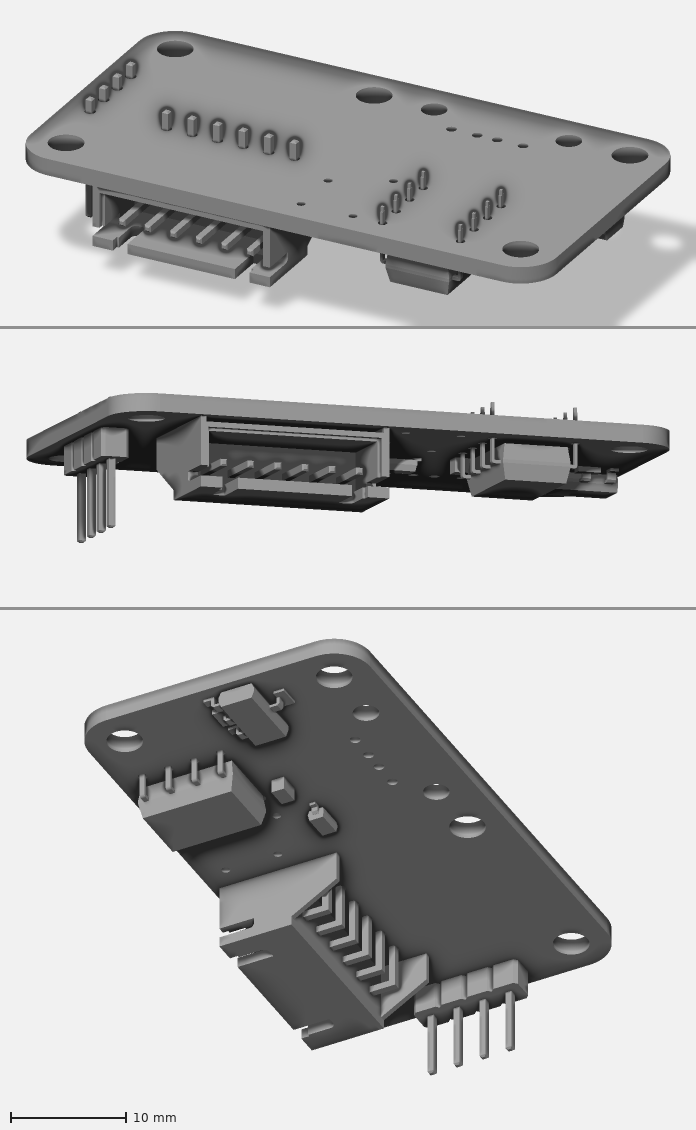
import cadquery as cq

BOARD_LENGTH = 51.5
BOARD_WIDTH = 27.5
BOARD_THICKNESS = 1.6
CORNER_RADIUS = 3.5
MOUNT_HOLE = 3.2
MOUNT_X = BOARD_LENGTH / 2 - CORNER_RADIUS
MOUNT_Y = BOARD_WIDTH / 2 - CORNER_RADIUS
EXTRA_MOUNT_X = -2.8

SOCKET_X = 9.7
PEG_HOLE = 2.3
PEG_SPACING = 13.2
CONTACT_HOLE = 0.95
CONTACT_Y = 7.55
CONTACT_OFFSETS = [-3.5, -1.0, 1.0, 3.5]

CHIP_ROW_SPACING = 7.6
PITCH = CHIP_ROW_SPACING / 3

CHIP_X = 13.1
CHIP_Y = -7.45
CHIP_ROWS = 4
CHIP_LEAD_HOLE = 0.8
CHIP_LEAD_WIDTH = 0.45
CHIP_LEAD_THICKNESS = 0.25
CHIP_LEAD_TOP = 3.2
CHIP_TIP_LENGTH = 0.45
CHIP_TIP_WIDTH = 0.25
CHIP_LENGTH = 9.25
CHIP_WIDTH = 6.25
CHIP_TOP_INSET = 0.2
CHIP_BOTTOM_INSET = 0.3
CHIP_TOP = -0.45
CHIP_BAND_TOP = -1.9
CHIP_BAND_BOTTOM = -2.2
CHIP_BOTTOM = -3.65

LOOSE_HOLE = 0.75
LOOSE_LEFT_X = 1.3
LOOSE_RIGHT_X = LOOSE_LEFT_X + 2 * PITCH

HEADER_X = -BOARD_LENGTH / 2 + PITCH
HEADER_Y = -0.05
HEADER_PINS = 4
HEADER_BLOCK_CHAMFER = 0.3
HEADER_HOLE = 1.0
HEADER_PIN_TOP = 2.95
HEADER_PIN_BOTTOM = -8.6
PIN_SIDE = 0.6
PIN_TIP = 0.15

PLUG_X = -9.55
PLUG_PINS = 6
PLUG_ROW_LENGTH = 12.5
PLUG_PITCH = PLUG_ROW_LENGTH / (PLUG_PINS - 1)
PLUG_HOLE = 0.95
PLUG_PIN_Y = -3.75
PLUG_PIN_TOP = 3.35
PLUG_PIN_Z = -3.8
PLUG_PIN_FRONT = -12.25
PLUG_WIDTH = 17.35
PLUG_FRONT = -13.05
PLUG_BACK = -1.55
PLUG_SHELL_BACK = -5.95
PLUG_BACK_WALL = 1.0
PLUG_ROOF_TOP = -0.45
PLUG_BOTTOM = -6.25
PLUG_FLOOR = 1.0
PLUG_ROOF = 0.45
GUSSET_THICKNESS = 0.5
GUSSET_LOW = -5.35
GUSSET_HIGH = -2.8
MOUTH_WALL = 0.65
MOUTH_DEPTH = 0.5
MOUTH_STEP = 0.25
SIDE_SLOT_TOP = -4.35
SIDE_SLOT_DEPTH = 3.4
SIDE_SLOT_RADIUS = 0.45
FLOOR_SLOT_INNER = 5.25
FLOOR_SLOT_WIDTH = 1.25
FLOOR_SLOT_DEPTH = 3.5
FLOOR_SLOT_RADIUS = 0.5
FLOOR_SLOT_MOUTH_WIDTH = 1.45
FLOOR_SLOT_MOUTH_DEPTH = 0.75

DIODE_X = 4.75
DIODE_Y = 0
DIODE_LENGTH = 2.7
DIODE_WIDTH = 1.55
DIODE_INSET = 0.1
DIODE_TOP = -0.25
DIODE_MIDDLE = -0.7
DIODE_BOTTOM = -1.3
DIODE_SPAN = 3.9
DIODE_FOOT = 0.4
DIODE_LEAD_WIDTH = 0.55

REGULATOR_X = 21.8
REGULATOR_Y = 2.1
REGULATOR_LENGTH = 6.5
REGULATOR_WIDTH = 3.5
REGULATOR_INSET = 0.25
REGULATOR_TOP = -0.2
REGULATOR_BAND_TOP = -0.75
REGULATOR_BAND_BOTTOM = -1.1
REGULATOR_BOTTOM = -1.75
REGULATOR_SPAN = 7.0
REGULATOR_FOOT = 0.75
REGULATOR_LEAD_PITCH = 2.3
REGULATOR_LEAD_WIDTH = 0.75
REGULATOR_TAB_WIDTH = 2.05
REGULATOR_TAB_THICKNESS = 0.45

LEAD_THICKNESS = 0.25
LEAD_BEND = 0.2

CAPACITOR_X = 10.25
CAPACITOR_Y = -1.05
CAPACITOR_LENGTH = 1.95
CAPACITOR_DEPTH = 1.25
CAPACITOR_HEIGHT = 1.3
TERMINAL_LENGTH = 0.3


def row(count, pitch, middle=0):
    """Evenly spaced positions about a middle."""
    return [middle + (i - (count - 1) / 2) * pitch for i in range(count)]


def box(x_range, y_range, z_range):
    """Box between two limits along each axis."""
    size = [end - start for start, end in (x_range, y_range, z_range)]
    return cq.Workplane().box(*size, centered=False).translate((x_range[0], y_range[0], z_range[0]))


def centred_box(x, y, length, width, z_range):
    """Box centred on (x, y) between two heights."""
    return box((x - length / 2, x + length / 2), (y - width / 2, y + width / 2), z_range)


def frustum(bottom, top, z_bottom, z_top):
    """Rectangular solid centred on the Z axis, tapering between two (length, width) sizes."""
    return (cq.Workplane().workplane(offset=z_bottom).rect(*bottom)
            .workplane(offset=z_top - z_bottom).rect(*top).loft(ruled=True))


HEADER_YS = row(HEADER_PINS, PITCH, HEADER_Y)
PLUG_XS = row(PLUG_PINS, PLUG_PITCH, PLUG_X)
CHIP_YS = row(CHIP_ROWS, PITCH, CHIP_Y)


def make_board():
    board = (cq.Workplane().box(BOARD_LENGTH, BOARD_WIDTH, BOARD_THICKNESS, centered=(True, True, False))
             .edges("|Z").fillet(CORNER_RADIUS))
    mounts = [(x, y) for x in (-MOUNT_X, MOUNT_X) for y in (-MOUNT_Y, MOUNT_Y)]
    mounts.append((EXTRA_MOUNT_X, MOUNT_Y))
    pegs = [(SOCKET_X + side * PEG_SPACING / 2, MOUNT_Y) for side in (-1, 1)]
    contacts = [(SOCKET_X + offset, CONTACT_Y) for offset in CONTACT_OFFSETS]
    header_holes = [(HEADER_X, y) for y in HEADER_YS]
    plug_holes = [(x, PLUG_PIN_Y) for x in PLUG_XS]
    chip_holes = [(x, y) for x in row(2, CHIP_ROW_SPACING, CHIP_X) for y in CHIP_YS]
    front_row, back_row = CHIP_YS[0], CHIP_YS[-1]
    loose_holes = [
        (LOOSE_LEFT_X, front_row),
        (LOOSE_LEFT_X, back_row - PITCH),
        (LOOSE_RIGHT_X, front_row),
        (LOOSE_RIGHT_X, back_row),
    ]
    for points, diameter in (
        (mounts, MOUNT_HOLE),
        (pegs, PEG_HOLE),
        (contacts, CONTACT_HOLE),
        (header_holes, HEADER_HOLE),
        (plug_holes, PLUG_HOLE),
        (chip_holes, CHIP_LEAD_HOLE),
        (loose_holes, LOOSE_HOLE),
    ):
        board = board.cut(cq.Workplane().pushPoints(points).circle(diameter / 2).extrude(BOARD_THICKNESS))
    return board


def make_header():
    """Row of chamfered blocks, each with a square pin through it."""
    header = cq.Workplane()
    for y in HEADER_YS:
        block = centred_box(HEADER_X, y, PITCH, PITCH, (-PITCH, 0)).edges("|Z").chamfer(HEADER_BLOCK_CHAMFER)
        pin = centred_box(HEADER_X, y, PIN_SIDE, PIN_SIDE, (HEADER_PIN_BOTTOM, HEADER_PIN_TOP))
        header = header.union(block).union(pin.faces("<Z or >Z").chamfer(PIN_TIP))
    return header


def make_plug_pin(x):
    """Square pin that runs back from the mouth and bends up through the board."""
    half = PIN_SIDE / 2
    upright = centred_box(x, PLUG_PIN_Y, PIN_SIDE, PIN_SIDE, (PLUG_PIN_Z - half, PLUG_PIN_TOP))
    contact = box(
        (x - half, x + half),
        (PLUG_PIN_FRONT, PLUG_PIN_Y + half),
        (PLUG_PIN_Z - half, PLUG_PIN_Z + half),
    )
    return upright.faces(">Z").chamfer(PIN_TIP).union(contact.faces("<Y").chamfer(PIN_TIP))


def make_floor_slot(side):
    """Slot in the floor with one rounded inner corner and a stepped mouth; side is -1 or 1."""
    inner = FLOOR_SLOT_INNER
    slot_z = (PLUG_BOTTOM, PLUG_BOTTOM + PLUG_FLOOR)
    slot = box((inner, inner + FLOOR_SLOT_WIDTH), (PLUG_FRONT, PLUG_FRONT + FLOOR_SLOT_DEPTH), slot_z)
    slot = slot.edges("|Z and >X and >Y").fillet(FLOOR_SLOT_RADIUS)
    slot = slot.union(box(
        (inner, inner + FLOOR_SLOT_MOUTH_WIDTH),
        (PLUG_FRONT, PLUG_FRONT + FLOOR_SLOT_MOUTH_DEPTH),
        slot_z,
    ))
    if side < 0:
        slot = slot.mirror("YZ")
    return slot.translate((PLUG_X, 0, 0))


def make_plug():
    """Open-fronted connector shell with side gussets and its bent pins."""
    left = PLUG_X - PLUG_WIDTH / 2
    right = PLUG_X + PLUG_WIDTH / 2
    floor_top = PLUG_BOTTOM + PLUG_FLOOR
    cavity_back = PLUG_SHELL_BACK - PLUG_BACK_WALL
    cavity_wall = MOUTH_WALL + MOUTH_STEP
    cavity_top = PLUG_ROOF_TOP - PLUG_ROOF
    mouth_back = PLUG_FRONT + MOUTH_DEPTH

    plug = box((left, right), (PLUG_FRONT, PLUG_SHELL_BACK), (PLUG_BOTTOM, PLUG_ROOF_TOP))

    gusset_outline = [
        (PLUG_FRONT, PLUG_BOTTOM),
        (PLUG_SHELL_BACK, PLUG_BOTTOM),
        (PLUG_SHELL_BACK, GUSSET_LOW),
        (PLUG_BACK, GUSSET_HIGH),
        (PLUG_BACK, 0),
        (PLUG_FRONT, 0),
    ]
    for x in (left, right - GUSSET_THICKNESS):
        gusset = cq.Workplane("YZ", origin=(x, 0, 0)).polyline(gusset_outline).close()
        plug = plug.union(gusset.extrude(GUSSET_THICKNESS))

    plug = plug.cut(box(
        (left + cavity_wall, right - cavity_wall),
        (PLUG_FRONT, cavity_back),
        (floor_top, cavity_top - MOUTH_STEP),
    ))
    plug = plug.cut(box(
        (left + MOUTH_WALL, right - MOUTH_WALL),
        (PLUG_FRONT, mouth_back),
        (floor_top, cavity_top),
    ))

    side_slot = box(
        (left, right),
        (PLUG_FRONT, PLUG_FRONT + SIDE_SLOT_DEPTH),
        (floor_top, SIDE_SLOT_TOP),
    )
    plug = plug.cut(side_slot.edges("|X and >Y and <Z").fillet(SIDE_SLOT_RADIUS))
    for side in (-1, 1):
        plug = plug.cut(make_floor_slot(side))
    for x in PLUG_XS:
        plug = plug.union(make_plug_pin(x))
    return plug


def make_chip():
    """Dual in-line chip: tapered body with leads bent up through the board."""
    middle = (CHIP_WIDTH, CHIP_LENGTH)
    top = (CHIP_WIDTH - 2 * CHIP_TOP_INSET, CHIP_LENGTH - 2 * CHIP_TOP_INSET)
    bottom = (CHIP_WIDTH - 2 * CHIP_BOTTOM_INSET, CHIP_LENGTH - 2 * CHIP_BOTTOM_INSET)
    chip = frustum(bottom, middle, CHIP_BOTTOM, CHIP_BAND_BOTTOM)
    chip = chip.union(frustum(middle, middle, CHIP_BAND_BOTTOM, CHIP_BAND_TOP))
    chip = chip.union(frustum(middle, top, CHIP_BAND_TOP, CHIP_TOP))
    chip = chip.translate((CHIP_X, CHIP_Y, 0))

    span = CHIP_ROW_SPACING + CHIP_LEAD_THICKNESS
    tip_bottom = CHIP_LEAD_TOP - CHIP_TIP_LENGTH
    for y in CHIP_YS:
        shoulder = centred_box(CHIP_X, y, span, CHIP_LEAD_WIDTH, (CHIP_BAND_BOTTOM, CHIP_BAND_TOP))
        chip = chip.union(shoulder.edges("|Y and <Z").fillet(CHIP_LEAD_THICKNESS))
        for x in row(2, CHIP_ROW_SPACING, CHIP_X):
            lead = centred_box(x, y, CHIP_LEAD_THICKNESS, CHIP_LEAD_WIDTH, (CHIP_BAND_TOP, tip_bottom))
            tip = centred_box(x, y, CHIP_LEAD_THICKNESS, CHIP_TIP_WIDTH, (tip_bottom, CHIP_LEAD_TOP))
            chip = chip.union(lead).union(tip)
    return chip


def make_lead(reach, foot_length, width, height, foot_width, foot_thickness):
    """Bent lead along +X: a foot on the board, a riser and a shoulder that starts at X = 0."""
    riser_end = reach - foot_length
    riser_start = riser_end - LEAD_THICKNESS
    foot = box((riser_start, reach), (-foot_width / 2, foot_width / 2), (-foot_thickness, 0))
    riser = box((riser_start, riser_end), (-width / 2, width / 2), (height, 0))
    shoulder = box((0, riser_end), (-width / 2, width / 2), (height, height + LEAD_THICKNESS))
    return riser.union(shoulder).edges("|Y and >X and <Z").chamfer(LEAD_BEND).union(foot)


def make_diode():
    ends = (DIODE_LENGTH - 2 * DIODE_INSET, DIODE_WIDTH - 2 * DIODE_INSET)
    middle = (DIODE_LENGTH, DIODE_WIDTH)
    diode = frustum(ends, middle, DIODE_BOTTOM, DIODE_MIDDLE)
    diode = diode.union(frustum(middle, ends, DIODE_MIDDLE, DIODE_TOP))
    lead_bottom = DIODE_MIDDLE - LEAD_THICKNESS / 2
    lead = make_lead(
        DIODE_SPAN / 2, DIODE_FOOT, DIODE_LEAD_WIDTH, lead_bottom, DIODE_LEAD_WIDTH, LEAD_THICKNESS
    )
    diode = diode.union(lead).union(lead.mirror("YZ"))
    return diode.translate((DIODE_X, DIODE_Y, 0))


def make_regulator():
    """Regulator with three leads in front and one behind; its tapers are on the long sides only."""
    ends = (REGULATOR_LENGTH, REGULATOR_WIDTH - 2 * REGULATOR_INSET)
    middle = (REGULATOR_LENGTH, REGULATOR_WIDTH)
    regulator = frustum(ends, middle, REGULATOR_BOTTOM, REGULATOR_BAND_BOTTOM)
    regulator = regulator.union(frustum(middle, middle, REGULATOR_BAND_BOTTOM, REGULATOR_BAND_TOP))
    regulator = regulator.union(frustum(middle, ends, REGULATOR_BAND_TOP, REGULATOR_TOP))

    width = REGULATOR_LEAD_WIDTH
    reach = REGULATOR_SPAN / 2
    height = REGULATOR_BAND_BOTTOM
    outer = make_lead(reach, REGULATOR_FOOT, width, height, width, LEAD_THICKNESS)
    tab = make_lead(reach, REGULATOR_FOOT, width, height, REGULATOR_TAB_WIDTH, REGULATOR_TAB_THICKNESS)
    rear = make_lead(reach, REGULATOR_FOOT, width, height, REGULATOR_TAB_WIDTH, LEAD_THICKNESS)
    front = -90
    back = 90
    for lead, angle, x in (
        (outer, front, -REGULATOR_LEAD_PITCH),
        (tab, front, 0),
        (outer, front, REGULATOR_LEAD_PITCH),
        (rear, back, 0),
    ):
        regulator = regulator.union(lead.rotate((0, 0, 0), (0, 0, 1), angle).translate((x, 0, 0)))
    return regulator.translate((REGULATOR_X, REGULATOR_Y, 0))


def make_capacitor_core():
    length = CAPACITOR_LENGTH - 2 * TERMINAL_LENGTH
    return centred_box(CAPACITOR_X, CAPACITOR_Y, length, CAPACITOR_DEPTH, (-CAPACITOR_HEIGHT, 0))


def make_capacitor_terminal(x):
    return centred_box(x, CAPACITOR_Y, TERMINAL_LENGTH, CAPACITOR_DEPTH, (-CAPACITOR_HEIGHT, 0))


board = make_board()
header = make_header()
plug = make_plug()
chip = make_chip()
diode = make_diode()
regulator = make_regulator()
capacitor_core = make_capacitor_core()
capacitor_terminals = [
    make_capacitor_terminal(x) for x in row(2, CAPACITOR_LENGTH - TERMINAL_LENGTH, CAPACITOR_X)
]

result = cq.Compound.makeCompound([
    board.val(),
    header.val(),
    plug.val(),
    chip.val(),
    diode.val(),
    regulator.val(),
    capacitor_core.val(),
    *[terminal.val() for terminal in capacitor_terminals],
])